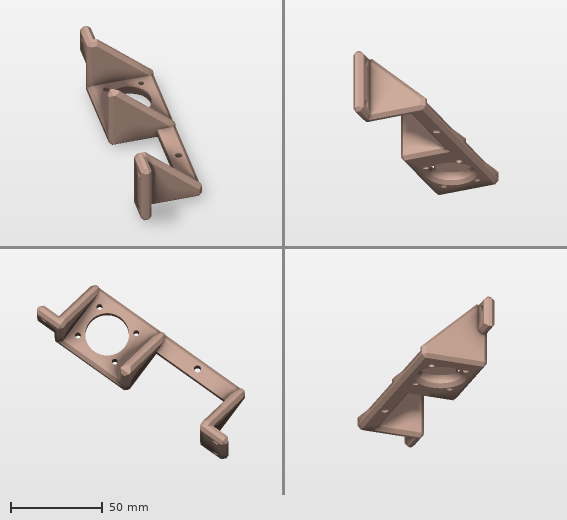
import cadquery as cq

length = 129.0
depth = 38.0
height = 37.0

wall = 6.0
tab_reach = 12.0
floor_thick = 7.0
plate_bay = 39.0
bevel = 2.0
left_tab_bottom = 18.5
strip_width = 11.0

screw_dia = 4.0
screw_inset = 5.9
bore_dia = 24.0
bore_x = 35.5
bore_y = depth / 2
motor_screw_dia = 3.2
motor_pitch_x = 25.0
motor_pitch_y = 20.0

gusset_edges = "<X or >X or (|X and (<Y or <Z))"

left_wall_x = tab_reach
middle_wall_x = left_wall_x + wall + plate_bay
right_wall_x = length - tab_reach - wall
middle_wall_end = middle_wall_x + wall


def block(x0, x1, y0, y1, z0, z1):
    """Box between opposite corners."""
    return cq.Workplane("XY").box(x1 - x0, y1 - y0, z1 - z0, centered=False).translate((x0, y0, z0))


def gusset(x0):
    """Sloped wall with its left face at x0, before bevelling."""
    outline = [(0, 0), (depth, 0), (depth, floor_thick), (wall, height), (0, height)]
    return cq.Workplane("YZ").polyline(outline).close().extrude(wall).translate((x0, 0, 0))


def outer_gusset(x0):
    """End wall, bevelled round both side faces and along the front and bottom."""
    return gusset(x0).edges(gusset_edges).chamfer(bevel)


def middle_gusset():
    """Middle wall, bevelled like the end walls except for its square top sides."""
    top_outline = cq.selectors.BoxSelector((0, 0, height - bevel), (length, wall, height + bevel))
    top_sides = top_outline - cq.selectors.StringSyntaxSelector("|X")
    outer_edges = cq.selectors.StringSyntaxSelector(gusset_edges)
    return gusset(middle_wall_x).edges(outer_edges - top_sides).chamfer(bevel)


def left_tab():
    """Short upright tab flush with the front, its lower end edge left square."""
    blank = block(0, left_wall_x + wall, 0, wall, left_tab_bottom, height)
    return blank.edges("|X or |Z or >Z").chamfer(bevel)


def right_tab():
    """Full-height upright tab flush with the front, bevelled all round."""
    return block(right_wall_x, length, 0, wall, 0, height).edges().chamfer(bevel)


def motor_plate():
    """Floor between the left and middle walls."""
    return block(left_wall_x, middle_wall_end, 0, depth, 0, floor_thick).edges().chamfer(bevel)


def rear_strip():
    """Bar joining the middle and right walls, with a square upper front edge."""
    x0 = middle_wall_x + wall / 2
    x1 = right_wall_x + wall / 2
    strip = block(x0, x1, depth - strip_width, depth, 0, floor_thick)
    return strip.edges("|X and (<Z or >Y)").chamfer(bevel)


def vertical_holes(points, diameter):
    """Cutters through the floor and the strip."""
    return cq.Workplane("XY").pushPoints(points).circle(diameter / 2).extrude(floor_thick)


def bore():
    """Motor bore cutter, flared at the underside of the floor."""
    shaft = vertical_holes([(bore_x, bore_y)], bore_dia)
    radius = bore_dia / 2
    flare = cq.Solid.makeCone(radius + bevel, radius, bevel, pnt=cq.Vector(bore_x, bore_y, 0))
    return shaft.union(cq.Workplane(flare))


def tab_holes():
    """Screw cutters through the thickness of the tabs."""
    right_x = length - screw_inset
    upper_z = height - screw_inset
    points = [(screw_inset, upper_z), (right_x, upper_z), (right_x, screw_inset)]
    return cq.Workplane("XZ").pushPoints(points).circle(screw_dia / 2).extrude(-wall)


body = motor_plate()
for piece in (
    outer_gusset(left_wall_x),
    middle_gusset(),
    outer_gusset(right_wall_x),
    rear_strip(),
    left_tab(),
    right_tab(),
):
    body = body.union(piece)

motor_screws = [
    (bore_x + side * motor_pitch_x / 2, bore_y + end * motor_pitch_y / 2)
    for side in (-1, 1)
    for end in (-1, 1)
]
strip_screw = ((middle_wall_end + right_wall_x) / 2, depth - strip_width / 2)

result = (
    body.cut(bore())
    .cut(vertical_holes(motor_screws, motor_screw_dia))
    .cut(vertical_holes([strip_screw], screw_dia))
    .cut(tab_holes())
)